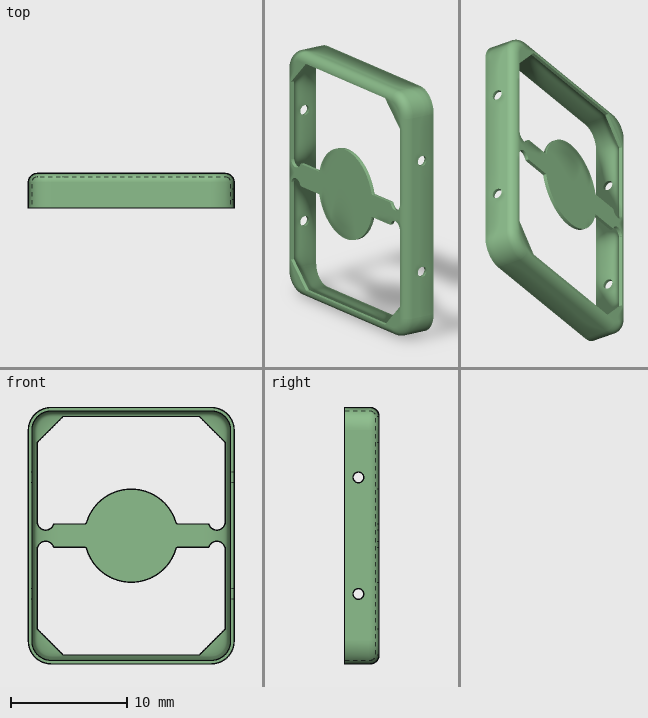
import cadquery as cq

width = 17.7
depth = 3.0
height = 22.05
corner_radius = 1.98
wall = 0.3
edge_radius = 0.8
face_thickness = wall
inner_edge_radius = edge_radius - face_thickness

opening_width = width - 2 * edge_radius
opening_height = height - 2 * edge_radius
gusset_leg = 2.2

disc_radius = 4.01
bar_height = 2.03
notch_radius = 0.7
neck_height = 0.97
bar_corner_radius = 0.1

hole_diameter = 0.9
hole_spacing = 10.0
hole_from_face = 1.79


def rounded_block(block_width, block_height, radius, back, face_edge_radius):
    """Block from Y = 0 to Y = back with rounded corners and a rounded +Y edge."""
    block = cq.Workplane("XZ").rect(block_width, block_height).extrude(-back)
    return block.edges("|Y").fillet(radius).faces(">Y").edges().fillet(face_edge_radius)


def face_layer():
    """Workplane on the inner side of the face; extrude by -face_thickness to fill it."""
    return cq.Workplane("XZ", origin=(0, depth - face_thickness, 0))


def make_tray():
    outer = rounded_block(width, height, corner_radius, depth, edge_radius)
    cavity = rounded_block(
        width - 2 * wall,
        height - 2 * wall,
        corner_radius - wall,
        depth - face_thickness,
        inner_edge_radius,
    )
    return outer.cut(cavity)


def make_opening():
    """Rectangular opening whose cut-off corners leave triangular gussets."""
    opening = face_layer().rect(opening_width, opening_height).extrude(-face_thickness)
    return opening.edges("|Y").chamfer(gusset_leg)


def make_disc_and_bar():
    bar = face_layer().rect(opening_width, bar_height).extrude(-face_thickness)
    notch_x = opening_width / 2 - notch_radius
    notch_z = neck_height / 2 + notch_radius
    notch_centers = [(sx * notch_x, sz * notch_z) for sx in (-1, 1) for sz in (-1, 1)]
    notches = face_layer().pushPoints(notch_centers).circle(notch_radius).extrude(-face_thickness)
    disc = face_layer().circle(disc_radius).extrude(-face_thickness)
    carrier = bar.cut(notches).union(disc)
    bar_zone = cq.selectors.BoxSelector((-notch_x, 0, -bar_height), (notch_x, depth, bar_height))
    return carrier.edges("|Y").edges(bar_zone).fillet(bar_corner_radius)


def make_cross_holes():
    hole_y = depth - hole_from_face
    centers = [(hole_y, side * hole_spacing / 2) for side in (-1, 1)]
    return cq.Workplane("YZ").pushPoints(centers).circle(hole_diameter / 2).extrude(width / 2, both=True)


result = make_tray().cut(make_opening()).union(make_disc_and_bar()).cut(make_cross_holes())